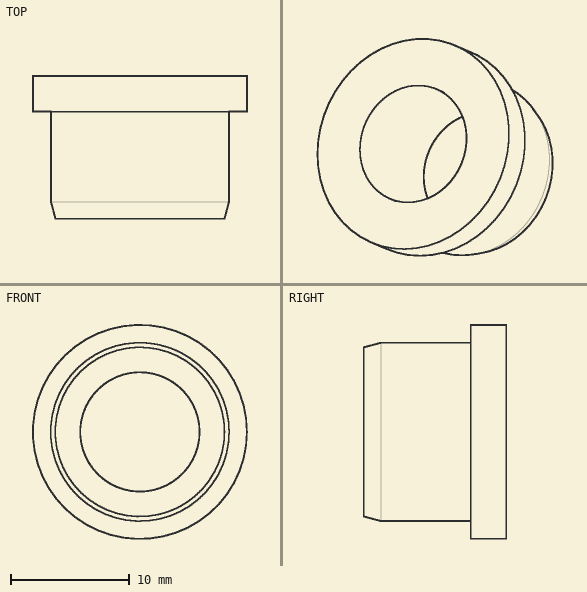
import cadquery as cq
import math

flange_diameter = 18.0
body_diameter = 15.0
bore_diameter = 10.0
total_length = 12.0
flange_thickness = 3.0

taper_length = 1.44
taper_angle = 15.0

flange_radius = flange_diameter / 2
body_radius = body_diameter / 2
bore_radius = bore_diameter / 2
tip_radius = body_radius - taper_length * math.tan(math.radians(taper_angle))
flange_start = total_length - flange_thickness

half_section = (
    cq.Workplane("XY")
    .moveTo(bore_radius, 0)
    .lineTo(tip_radius, 0)
    .lineTo(body_radius, taper_length)
    .lineTo(body_radius, flange_start)
    .lineTo(flange_radius, flange_start)
    .lineTo(flange_radius, total_length)
    .lineTo(bore_radius, total_length)
    .close()
)

result = half_section.revolve(360, (0, 0, 0), (0, 1, 0))